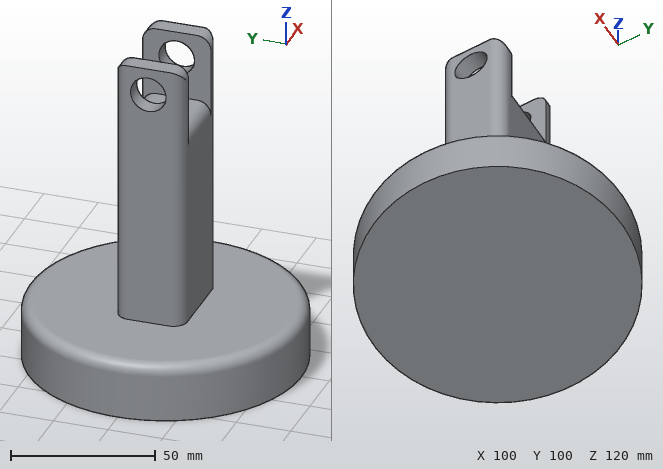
import cadquery as cq

total_height = 120.0
base_diameter = 100.0
base_height = 21.2
base_rounding = 4.1
post_width = 36.1
post_depth = 25.1
post_rounding = 5.0
slot_width = 23.0
slot_floor_height = 94.8
pin_diameter = 13.0
pin_drop = 10.0

pin_height = total_height - pin_drop
ear_thickness = (post_width - slot_width) / 2


def make_base():
    """Round foot with a rounded upper rim."""
    disc = cq.Workplane("XY").circle(base_diameter / 2).extrude(base_height)
    return disc.faces(">Z").edges().fillet(base_rounding)


def round_topped_slab(width, top_height, center_x):
    """Slab standing on the bottom plane, its two top edges along X rounded."""
    slab = cq.Workplane("XY").center(center_x, 0).rect(width, post_depth).extrude(top_height)
    return slab.faces(">Z").edges("|X").fillet(post_rounding)


def make_post():
    """Forked post: a low middle block between two taller ears."""
    post = round_topped_slab(slot_width, slot_floor_height, 0)
    for side in (-1, 1):
        ear_center = side * (slot_width + ear_thickness) / 2
        post = post.union(round_topped_slab(ear_thickness, total_height, ear_center))

    envelope = cq.Workplane("XY").rect(post_width, post_depth).extrude(total_height)
    return post.intersect(envelope.edges("|Z").fillet(post_rounding))


def make_pin_hole():
    """Cross hole along X through both ears."""
    pin = cq.Workplane("YZ").center(0, pin_height).circle(pin_diameter / 2)
    return pin.extrude(post_width / 2, both=True)


result = make_base().union(make_post()).cut(make_pin_hole())